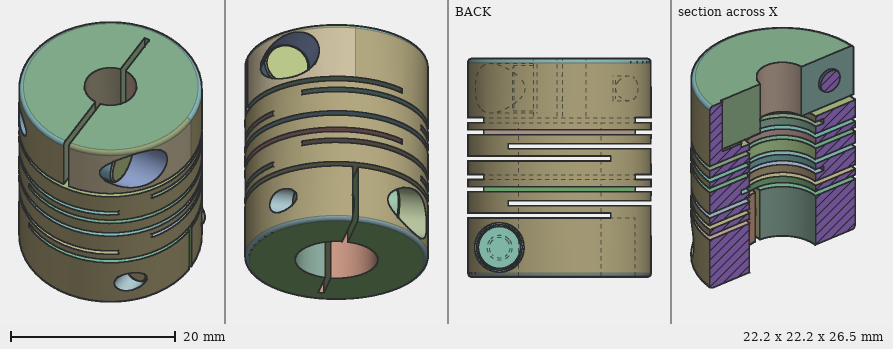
import cadquery as cq

length = 26.5
outer_radius = 11.1
edge_round = 0.5
clamp_bore_radius = 3.15
relief_radius = 5.0

slot_height = 0.58
slot_floor = 6.2
pair_pitch = 1.48
pair_gap = 1.7
middle_gap = 2.23
slot_span = 4 * pair_pitch + 2 * pair_gap + middle_gap + slot_height
hub_height = (length - slot_span) / 2

slit_width = 0.7
slit_end = 9.12
screw_offset = 7.3
screw_depth = hub_height / 2
shank_radius = 1.5
tip_x = -6.73
tip_chamfer = 0.26
head_radius = 2.75
head_end_x = 5.75
head_length = 3.0
head_chamfer = 0.2
counterbore_radius = 3.0

head_seat_x = head_end_x - head_length
reach = 2 * outer_radius


def cylinder_along_x(radius, start_x, end_x, z):
    """Cylinder on the screw axis between two X positions."""
    return (
        cq.Workplane("YZ", origin=(start_x, -screw_offset, z))
        .circle(radius)
        .extrude(end_x - start_x)
    )


def make_body():
    """Rounded tube: a clamp bore through the top hub, a wider relief bore below it."""
    body = cq.Workplane("XY").circle(outer_radius).extrude(length)
    body = body.faces("<Z or >Z").edges().fillet(edge_round)
    clamp_bore = cq.Workplane("XY").circle(clamp_bore_radius).extrude(length)
    relief = cq.Workplane("XY").circle(relief_radius).extrude(length - hub_height)
    return body.cut(clamp_bore).cut(relief)


def flexure_slot(top_z, angle):
    """Slot cut in from -Y and turned about Z, leaving a web beyond the slot floor."""
    return (
        cq.Workplane("XY", origin=(0, 0, top_z - slot_height))
        .rect(2 * reach, reach + slot_floor)
        .extrude(slot_height)
        .translate((0, (slot_floor - reach) / 2, 0))
        .rotate((0, 0, 0), (0, 0, 1), angle)
    )


def cut_flexure_slots(body):
    """Cut pairs facing -Y/+Y and -X/+X in turn down the body."""
    top_z = length - hub_height
    steps = (pair_pitch, pair_gap, pair_pitch, middle_gap, pair_pitch, pair_gap, pair_pitch, 0)
    angles = (0, 180, -90, 90) * 2
    for step, angle in zip(steps, angles):
        body = body.cut(flexure_slot(top_z, angle))
        top_z -= step
    return body


def clamp_cutters(hub_base_z, screw_z):
    """Slit open at -Y, screw hole open at -X and head counterbore open at +X."""
    slit = (
        cq.Workplane("XY", origin=(0, (slit_end - reach) / 2, hub_base_z))
        .rect(slit_width, slit_end + reach)
        .extrude(hub_height)
    )
    hole = cylinder_along_x(shank_radius, -reach, head_seat_x, screw_z)
    counterbore = cylinder_along_x(counterbore_radius, head_seat_x, reach, screw_z)
    return slit.union(hole).union(counterbore)


def clamp_screw(screw_z):
    """Plain cap screw filling its hole from the chamfered tip to the head."""
    shank = cylinder_along_x(shank_radius, tip_x, head_seat_x, screw_z)
    shank = shank.faces("<X").chamfer(tip_chamfer)
    head = cylinder_along_x(head_radius, head_seat_x, head_end_x, screw_z)
    head = head.faces(">X").chamfer(head_chamfer)
    return shank.union(head)


def add_clamp(body, hub_base_z, screw_z, angle):
    """Slit one hub and fit its screw, turned about Z by the given angle."""
    axis = ((0, 0, 0), (0, 0, 1))
    body = body.cut(clamp_cutters(hub_base_z, screw_z).rotate(*axis, angle))
    return body.union(clamp_screw(screw_z).rotate(*axis, angle))


result = cut_flexure_slots(make_body())
result = add_clamp(result, length - hub_height, length - screw_depth, 0)
result = add_clamp(result, 0, screw_depth, 90)